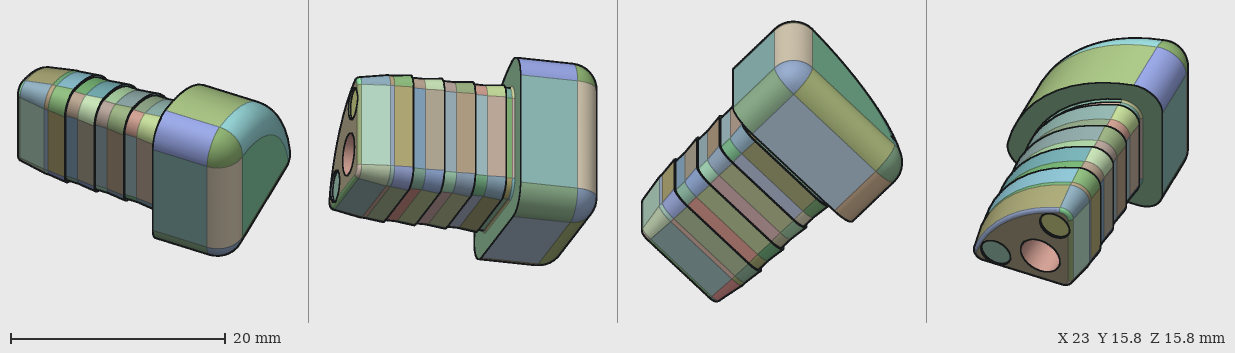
import cadquery as cq
import math

cap_arc_radius = 16.0
cap_corner_radius = 2.5
cap_thickness = 8.0
cap_edge_fillet = 2.5

plug_length = 15.0
plug_inset = 2.2
plug_corner_radius = 1.5
root_fillet = 0.2

lead_in_length = 3.0
lead_in_angle = 10.0
tip_fillet = 0.4

barb_count = 4
barb_start = 3.4
barb_length = 1.8
barb_pitch = 3.0
barb_height = 0.2

hole_center = 5.86
hole_mouth_radius = 2.0
hole_draft = 1.0
hole_depth = 13.0

mark_radius = 1.5
mark_depth = 0.2
mark_near = 4.4
mark_far = 10.4


def wedge_outline(x, inset, corner_radius):
    """Rounded quarter-disc wire at X = x, its sides moved inward by inset."""
    near = inset + corner_radius
    arc_radius = cap_arc_radius - inset
    center_distance = arc_radius - corner_radius
    far = math.sqrt(center_distance**2 - near**2)
    tangent = arc_radius / center_distance
    diagonal = math.cos(math.pi / 4)
    corner_mid = near - corner_radius * diagonal
    arc_mid = arc_radius * diagonal

    mid_angle = (math.pi + math.atan2(far, near)) / 2
    acute_near = near + corner_radius * math.cos(mid_angle)
    acute_far = far + corner_radius * math.sin(mid_angle)

    return (
        cq.Workplane("YZ", origin=(x, 0, 0))
        .moveTo(near, inset)
        .lineTo(far, inset)
        .threePointArc((acute_far, acute_near), (far * tangent, near * tangent))
        .threePointArc((arc_mid, arc_mid), (near * tangent, far * tangent))
        .threePointArc((acute_near, acute_far), (inset, far))
        .lineTo(inset, near)
        .threePointArc((corner_mid, corner_mid), (near, inset))
        .close()
    )


def plug_outline(x, outset):
    """Plug wire at X = x, grown by outset while its corner centers stay in place."""
    return wedge_outline(x, plug_inset - outset, plug_corner_radius + outset).wire().val()


def plug_section(x_start, outset_start, x_end, outset_end):
    """Straight-sided stretch of plug between two outlines."""
    outlines = [plug_outline(x_start, outset_start), plug_outline(x_end, outset_end)]
    return cq.Workplane(cq.Solid.makeLoft(outlines, True))


def make_cap():
    """Wedge cap with a rounded rim on its outer face."""
    cap = wedge_outline(plug_length, 0, cap_corner_radius).extrude(cap_thickness)
    return cap.faces(">X").edges().fillet(cap_edge_fillet)


def make_lead_in():
    """Drafted free end of the plug with a rounded tip edge."""
    tip_outset = -lead_in_length * math.tan(math.radians(lead_in_angle))
    lead_in = plug_section(0, tip_outset, lead_in_length, 0)
    return lead_in.faces("<X").edges().fillet(tip_fillet)


def make_barb(index):
    """Ramp that rises away from the tip and drops off square."""
    x_start = barb_start + index * barb_pitch
    return plug_section(x_start, 0, x_start + barb_length, barb_height)


def make_hole():
    """Conical blind hole along X."""
    floor_radius = hole_mouth_radius - hole_depth * math.tan(math.radians(hole_draft))
    mouth = cq.Vector(0, hole_center, hole_center)
    return cq.Solid.makeCone(hole_mouth_radius, floor_radius, hole_depth, mouth, cq.Vector(1, 0, 0))


def make_marks():
    """Two round recesses, mirrored about the wedge diagonal."""
    centers = [(mark_near, mark_far), (mark_far, mark_near)]
    return cq.Workplane("YZ").pushPoints(centers).circle(mark_radius).extrude(mark_depth)


def make_body():
    """Plain plug joined to the cap, with the inner corner between them rounded."""
    straight_length = plug_length - lead_in_length
    plug = wedge_outline(lead_in_length, plug_inset, plug_corner_radius).extrude(straight_length)
    plug_reach = cap_arc_radius - plug_inset
    root_box = cq.selectors.BoxSelector(
        (plug_length - root_fillet, plug_inset / 2, plug_inset / 2),
        (plug_length + root_fillet, plug_reach, plug_reach),
        boundingbox=True,
    )
    return plug.union(make_cap()).edges(root_box).fillet(root_fillet)


result = make_body().union(make_lead_in())
for barb_index in range(barb_count):
    result = result.union(make_barb(barb_index))
result = result.cut(make_hole()).cut(make_marks())